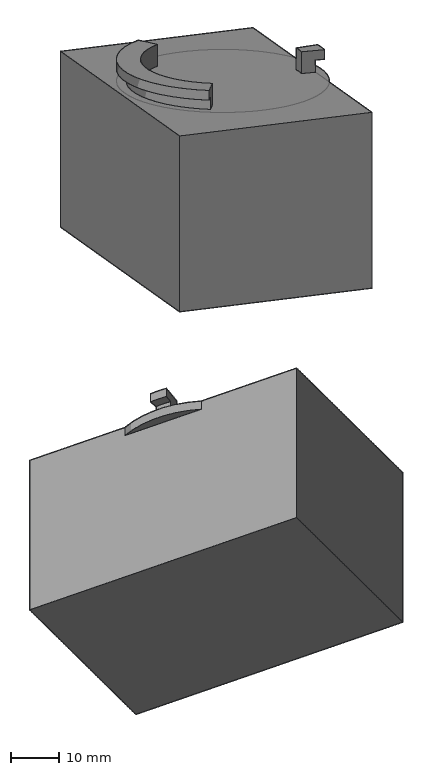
import cadquery as cq
import math

BODY_WIDTH = 64.0
BODY_DEPTH = 43.0
BODY_HEIGHT = 38.0

PLATE_RADIUS = 22.0
PLATE_THICKNESS = 2.1
PLATE_FRONT_MARGIN = 1.0
PLATE_CENTER_Y = PLATE_FRONT_MARGIN + PLATE_RADIUS

INNER_RADIUS = 17.0
NECK_RADIUS = 20.0
LIP_RADIUS = PLATE_RADIUS
RAISED_HEIGHT = 4.7
LIP_HEIGHT = 2.1
NECK_HEIGHT = RAISED_HEIGHT - LIP_HEIGHT

FRONT_DIRECTION = -90.0
FRONT_HALF_ANGLE = 60.0
BACK_DIRECTION = 90.0
BACK_HALF_ANGLE = 5.0


def polar(radius, angle):
    """Point at a radius and an angle in degrees about the plate centre."""
    radians = math.radians(angle)
    return (radius * math.cos(radians), PLATE_CENTER_Y + radius * math.sin(radians))


def ring_sector(outer_radius, direction, half_angle, bottom, height):
    """Ring sector from INNER_RADIUS to outer_radius, centred on a direction."""
    start = direction - half_angle
    end = direction + half_angle
    return (
        cq.Workplane("XY", origin=(0, 0, bottom))
        .moveTo(*polar(INNER_RADIUS, start))
        .lineTo(*polar(outer_radius, start))
        .threePointArc(polar(outer_radius, direction), polar(outer_radius, end))
        .lineTo(*polar(INNER_RADIUS, end))
        .threePointArc(polar(INNER_RADIUS, direction), polar(INNER_RADIUS, start))
        .close()
        .extrude(height)
    )


def retaining_segment(direction, half_angle):
    """Neck standing on the body top, with the overhanging lip above it."""
    neck = ring_sector(NECK_RADIUS, direction, half_angle, BODY_HEIGHT, NECK_HEIGHT)
    lip_bottom = BODY_HEIGHT + NECK_HEIGHT
    lip = ring_sector(LIP_RADIUS, direction, half_angle, lip_bottom, LIP_HEIGHT)
    return neck.union(lip)


def body():
    return cq.Workplane("XY").box(
        BODY_WIDTH, BODY_DEPTH, BODY_HEIGHT, centered=(True, False, False)
    )


def plate():
    return (
        cq.Workplane("XY", origin=(0, PLATE_CENTER_Y, BODY_HEIGHT - PLATE_THICKNESS))
        .circle(PLATE_RADIUS)
        .extrude(PLATE_THICKNESS)
    )


result = (
    body()
    .union(plate(), clean=False)
    .union(retaining_segment(FRONT_DIRECTION, FRONT_HALF_ANGLE), clean=False)
    .union(retaining_segment(BACK_DIRECTION, BACK_HALF_ANGLE), clean=False)
)